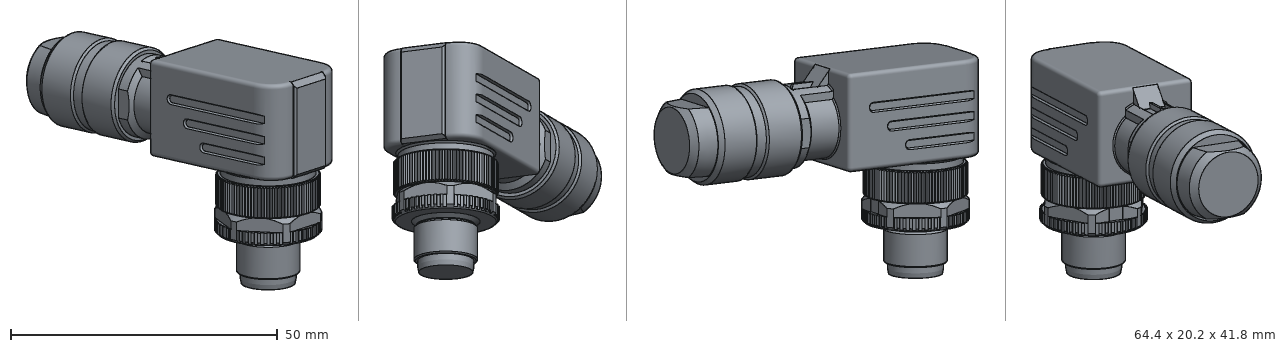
import cadquery as cq
import math

PLUG_X = 53.85
OVERALL_HEIGHT = 41.8

HOUSING_START = 33.0
HOUSING_END = 63.75
HOUSING_HALF_WIDTH = 10.0
HOUSING_TOP = 10.75
HOUSING_BOTTOM = -8.0
HOUSING_CORNER_RADIUS = 4.95
HOUSING_EDGE_FILLET = 0.85

PANEL_FACE = 64.4
PANEL_HALF_WIDTH = 4.6
PANEL_SIDE_CHAMFER = 0.4
PANEL_TOP_CHAMFER = 1.1
PANEL_BOTTOM_CHAMFER = 0.8
PANEL_ROOT = 61.2

GROOVE_COUNT = 3
GROOVE_PITCH = 4.0
GROOVE_HEIGHT = 1.9
GROOVE_DEPTH = 0.45
GROOVE_INSET = 0.25
GROOVE_FIRST_START = 37.5

NUT_TIP_RADIUS = 6.3
NUT_TIP_CHAMFER_LENGTH = 1.2
NUT_TIP_CONE_SMALL_RADIUS = 7.65
NUT_TIP_CONE_LARGE_RADIUS = 8.2
NUT_FLAT_HEIGHT = 6.6
NUT_SHOULDER = 5.1
NUT_SHOULDER_RADIUS = 8.4
NUT_SHOULDER_CHAMFER_LENGTH = 1.0
NUT_GROOVE_START = 13.1
NUT_GROOVE_END = 15.9
NUT_GROOVE_SLOPE_LENGTH = 0.4
NUT_RADIUS = 9.1
NUT_GROOVE_RADIUS = 8.6
NUT_END = 23.5
NUT_END_CHAMFER_LENGTH = 0.5
COLLAR_RADIUS = 8.0
COLLAR_FLAT_WIDTH = 7.5
COLLAR_END = 25.7
COLLAR_CHAMFER_LENGTH = 0.95
NECK_RADIUS = 6.75
NECK_ROOT_CHAMFER = 0.25

RAIL_HALF_WIDTH = 4.4
POCKET_HALF_WIDTH = 2.65
POCKET_START = 25.05
POCKET_FLOOR_START = 26.2
POCKET_FLOOR_RADIUS = 7.1
TONGUE_START = 26.3
TONGUE_WIDTH = 1.15
TONGUE_TAPER = 15
TONGUE_TOP = 8.0
RAMP_START = 30.35
RAMP_END = 33.3
RAMP_TOP = 10.6

STEM_RADIUS = 9.0
STEM_FLARE = 0.4
GRIP_RADIUS = 9.85
GRIP_TOP = -9.65
GRIP_BOTTOM = -15.9
GRIP_CHAMFER = 0.3
GRIP_TEETH = 100
GRIP_TOOTH_DEPTH = 0.25
HEX_ACROSS_FLATS = 18.15
RING_RADIUS = 10.1
RING_TOP = -18.6
RING_BOTTOM = -21.2
RING_CHAMFER = 0.65
RING_NOTCH_DEPTH = 0.4
RING_NOTCH_WIDTH = 0.65
RING_NOTCHES_PER_SIDE = 8
RING_NOTCH_EDGE_ANGLE = 6.0
HEX_SIDES = 6
FIRST_HEX_CORNER = 90
MARK_WIDTH = 2.9
MARK_DEPTH = 0.2
UNDERCUT_TOP_RADIUS = 6.45
UNDERCUT_RADIUS = 5.55
UNDERCUT_BOTTOM = -21.9
PLUG_RADIUS = 6.0
PLUG_TOP = -22.1
PLUG_TOP_CHAMFER = 0.4
PLUG_LOWER_CHAMFER = 0.25
PLUG_TIP_RADIUS = 5.3
PLUG_TIP_TOP = -28.85
PLUG_TIP_TAPER_START = -30.1
PLUG_TIP_TAPER = 0.2
PLUG_BOTTOM = HOUSING_TOP - OVERALL_HEIGHT


def box(x_range, y_range, z_range):
    """Axis-aligned box between the given limits."""
    size = [high - low for low, high in (x_range, y_range, z_range)]
    corner = (x_range[0], y_range[0], z_range[0])
    return cq.Workplane("XY").box(*size, centered=False).translate(corner)


def side_profile(points, half_width):
    """Prism with an (x, z) outline, centred on y = 0."""
    return cq.Workplane("XZ").polyline(points).close().extrude(half_width, both=True)


def turned_on_cable_axis(points):
    """Body of revolution about X from (x, radius) points."""
    outline = [(points[0][0], 0)] + points + [(points[-1][0], 0)]
    return cq.Workplane("XY").polyline(outline).close().revolve(360, (0, 0, 0), (1, 0, 0))


def turned_on_plug_axis(points):
    """Body of revolution about Z from (radius, z) points, moved to the plug axis."""
    outline = [(0, points[0][1])] + points + [(0, points[-1][1])]
    solid = cq.Workplane("XZ").polyline(outline).close().revolve(360, (0, 0, 0), (0, 1, 0))
    return solid.translate((PLUG_X, 0, 0))


def housing():
    block = box(
        (HOUSING_START, HOUSING_END),
        (-HOUSING_HALF_WIDTH, HOUSING_HALF_WIDTH),
        (HOUSING_BOTTOM, HOUSING_TOP),
    )
    block = block.edges("|Z and >X").fillet(HOUSING_CORNER_RADIUS)
    return block.edges("|Y or |X or <X or >Z or <Z").fillet(HOUSING_EDGE_FILLET)


def end_panel():
    elevation = side_profile(
        [
            (PANEL_ROOT, HOUSING_BOTTOM),
            (PANEL_FACE - PANEL_BOTTOM_CHAMFER, HOUSING_BOTTOM),
            (PANEL_FACE, HOUSING_BOTTOM + PANEL_BOTTOM_CHAMFER),
            (PANEL_FACE, HOUSING_TOP - PANEL_TOP_CHAMFER),
            (PANEL_FACE - PANEL_TOP_CHAMFER, HOUSING_TOP),
            (PANEL_ROOT, HOUSING_TOP),
        ],
        PANEL_HALF_WIDTH,
    )
    plan = box(
        (PANEL_ROOT, PANEL_FACE),
        (-PANEL_HALF_WIDTH, PANEL_HALF_WIDTH),
        (HOUSING_BOTTOM, HOUSING_TOP),
    )
    return elevation.intersect(plan.edges("|Z and >X").chamfer(PANEL_SIDE_CHAMFER))


def grip_grooves():
    """Tapered grooves with a round start that run out through the rounded corner."""
    taper = math.degrees(math.atan(GROOVE_INSET / GROOVE_DEPTH))
    wall = cq.Workplane("XZ", origin=(0, -HOUSING_HALF_WIDTH, 0))
    grooves = cq.Workplane("XY")
    for index in range(GROOVE_COUNT):
        start = GROOVE_FIRST_START + index * GROOVE_PITCH
        height = ((GROOVE_COUNT - 1) / 2 - index) * GROOVE_PITCH
        length = HOUSING_END - start
        groove = (
            wall.center(start + length / 2, height)
            .slot2D(length, GROOVE_HEIGHT)
            .extrude(-GROOVE_DEPTH, taper=taper)
        )
        grooves = grooves.add(groove).add(groove.mirror("XZ"))
    return grooves.combine()


def gland_nut():
    nut = turned_on_cable_axis(
        [
            (0, NUT_TIP_RADIUS),
            (NUT_TIP_CHAMFER_LENGTH, NUT_TIP_CONE_SMALL_RADIUS),
            (NUT_SHOULDER, NUT_TIP_CONE_LARGE_RADIUS),
            (NUT_SHOULDER, NUT_SHOULDER_RADIUS),
            (NUT_SHOULDER + NUT_SHOULDER_CHAMFER_LENGTH, NUT_RADIUS),
            (NUT_GROOVE_START, NUT_RADIUS),
            (NUT_GROOVE_START + NUT_GROOVE_SLOPE_LENGTH, NUT_GROOVE_RADIUS),
            (NUT_GROOVE_END - NUT_GROOVE_SLOPE_LENGTH, NUT_GROOVE_RADIUS),
            (NUT_GROOVE_END, NUT_RADIUS),
            (NUT_END - NUT_END_CHAMFER_LENGTH, NUT_RADIUS),
            (NUT_END, NUT_GROOVE_RADIUS),
        ]
    )
    flat = box((0, NUT_SHOULDER), (-NUT_RADIUS, NUT_RADIUS), (NUT_FLAT_HEIGHT, NUT_RADIUS))
    return nut.cut(flat).cut(flat.mirror("XY"))


def collar_and_neck():
    collar_tip = COLLAR_END + COLLAR_CHAMFER_LENGTH
    collar = turned_on_cable_axis(
        [(NUT_END, COLLAR_RADIUS), (COLLAR_END, COLLAR_RADIUS), (collar_tip, NECK_RADIUS)]
    )
    root = (HOUSING_START - NECK_ROOT_CHAMFER, HOUSING_START)
    rails = turned_on_cable_axis(
        [
            (NUT_END, COLLAR_RADIUS),
            (root[0], COLLAR_RADIUS),
            (root[1], COLLAR_RADIUS + NECK_ROOT_CHAMFER),
        ]
    )
    rails = rails.intersect(
        box((NUT_END, HOUSING_START), (-RAIL_HALF_WIDTH, RAIL_HALF_WIDTH), (0, HOUSING_TOP))
    )
    width_limit = box(
        (NUT_END, HOUSING_START),
        (-COLLAR_FLAT_WIDTH, COLLAR_FLAT_WIDTH),
        (-COLLAR_RADIUS, HOUSING_TOP),
    )
    pocket = box(
        (POCKET_START, HOUSING_START), (-POCKET_HALF_WIDTH, POCKET_HALF_WIDTH), (0, HOUSING_TOP)
    )
    pocket_floor = turned_on_cable_axis(
        [
            (POCKET_START, COLLAR_RADIUS),
            (POCKET_FLOOR_START, POCKET_FLOOR_RADIUS),
            (HOUSING_START, POCKET_FLOOR_RADIUS),
        ]
    )
    neck = turned_on_cable_axis(
        [(NUT_END, NECK_RADIUS), (root[0], NECK_RADIUS), (root[1], NECK_RADIUS + NECK_ROOT_CHAMFER)]
    )
    pocket = pocket.cut(pocket_floor)
    return collar.union(rails).intersect(width_limit).cut(pocket).union(neck)


def latch():
    """Thin tongue in the pocket and the ramp that rises to the top of the housing."""
    tongue_length = HOUSING_START - TONGUE_START
    tongue = (
        cq.Workplane("XY", origin=(TONGUE_START + tongue_length / 2, 0, NECK_RADIUS))
        .rect(tongue_length, TONGUE_WIDTH)
        .extrude(TONGUE_TOP - NECK_RADIUS, taper=TONGUE_TAPER)
    )
    ramp = side_profile(
        [
            (RAMP_START, POCKET_FLOOR_RADIUS),
            (RAMP_END, RAMP_TOP),
            (HOUSING_START + HOUSING_EDGE_FILLET, RAMP_TOP),
            (HOUSING_START + HOUSING_EDGE_FILLET, 0),
            (RAMP_START, 0),
        ],
        POCKET_HALF_WIDTH,
    )
    return tongue.union(ramp)


def stem_and_plug():
    return turned_on_plug_axis(
        [
            (STEM_RADIUS + STEM_FLARE, HOUSING_BOTTOM),
            (STEM_RADIUS, HOUSING_BOTTOM - STEM_FLARE),
            (STEM_RADIUS, GRIP_TOP),
            (UNDERCUT_TOP_RADIUS, GRIP_TOP),
            (UNDERCUT_TOP_RADIUS, RING_BOTTOM),
            (UNDERCUT_RADIUS, UNDERCUT_BOTTOM),
            (PLUG_RADIUS - PLUG_TOP_CHAMFER, PLUG_TOP),
            (PLUG_RADIUS, PLUG_TOP - PLUG_TOP_CHAMFER),
            (PLUG_RADIUS, PLUG_TIP_TOP + PLUG_LOWER_CHAMFER),
            (PLUG_RADIUS - PLUG_LOWER_CHAMFER, PLUG_TIP_TOP),
            (PLUG_TIP_RADIUS, PLUG_TIP_TOP),
            (PLUG_TIP_RADIUS, PLUG_TIP_TAPER_START),
            (PLUG_TIP_RADIUS - PLUG_TIP_TAPER, PLUG_BOTTOM),
        ]
    )


def knurled_grip():
    root_radius = GRIP_RADIUS - GRIP_TOOTH_DEPTH
    outline = []
    for half_tooth in range(2 * GRIP_TEETH):
        radius = root_radius if half_tooth % 2 else GRIP_RADIUS
        angle = math.pi * half_tooth / GRIP_TEETH
        outline.append((radius * math.cos(angle), radius * math.sin(angle)))
    toothed = cq.Workplane("XY", origin=(PLUG_X, 0, GRIP_BOTTOM)).polyline(outline).close()
    envelope = turned_on_plug_axis(
        [
            (GRIP_RADIUS - GRIP_CHAMFER, GRIP_TOP),
            (GRIP_RADIUS, GRIP_TOP - GRIP_CHAMFER),
            (GRIP_RADIUS, GRIP_BOTTOM + GRIP_CHAMFER),
            (GRIP_RADIUS - GRIP_CHAMFER, GRIP_BOTTOM),
        ]
    )
    return toothed.extrude(GRIP_TOP - GRIP_BOTTOM).intersect(envelope)


def coupling_nut():
    """Hexagon above a notched ring; plain lands are left below the hexagon corners."""
    flat_radius = HEX_ACROSS_FLATS / 2
    nut = turned_on_plug_axis(
        [
            (flat_radius, GRIP_BOTTOM),
            (RING_RADIUS, GRIP_BOTTOM - (RING_RADIUS - flat_radius)),
            (RING_RADIUS, RING_BOTTOM + RING_CHAMFER),
            (RING_RADIUS - RING_CHAMFER, RING_BOTTOM),
        ]
    )
    corner_radius = flat_radius / math.cos(math.pi / HEX_SIDES)
    hexagon = (
        cq.Workplane("XY", origin=(PLUG_X, 0, RING_TOP))
        .transformed(rotate=(0, 0, FIRST_HEX_CORNER))
        .polygon(HEX_SIDES, 2 * corner_radius)
        .extrude(GRIP_BOTTOM - RING_TOP)
    )
    ring_space = cq.Workplane("XY", origin=(PLUG_X, 0, RING_BOTTOM)).circle(RING_RADIUS)
    nut = nut.intersect(hexagon.union(ring_space.extrude(RING_TOP - RING_BOTTOM)))

    side_angle = 360 / HEX_SIDES
    step = (side_angle - 2 * RING_NOTCH_EDGE_ANGLE) / (RING_NOTCHES_PER_SIDE - 1)
    notch = box(
        (RING_RADIUS - RING_NOTCH_DEPTH, RING_RADIUS + RING_NOTCH_DEPTH),
        (-RING_NOTCH_WIDTH / 2, RING_NOTCH_WIDTH / 2),
        (RING_BOTTOM, RING_TOP),
    )
    notches = cq.Workplane("XY")
    for side in range(HEX_SIDES):
        corner_angle = FIRST_HEX_CORNER + side * side_angle
        for index in range(RING_NOTCHES_PER_SIDE):
            angle = corner_angle + RING_NOTCH_EDGE_ANGLE + index * step
            notches = notches.add(notch.rotate((0, 0, 0), (0, 0, 1), angle))
    nut = nut.cut(notches.combine().translate((PLUG_X, 0, 0)))

    mark_face = PLUG_X - flat_radius
    mark = box(
        (mark_face, mark_face + MARK_DEPTH),
        (-MARK_WIDTH / 2, MARK_WIDTH / 2),
        (RING_TOP, GRIP_BOTTOM),
    )
    return nut.cut(mark)


result = (
    housing()
    .union(end_panel())
    .cut(grip_grooves())
    .union(collar_and_neck())
    .union(latch())
    .union(gland_nut())
    .union(stem_and_plug())
    .union(knurled_grip())
    .union(coupling_nut())
)